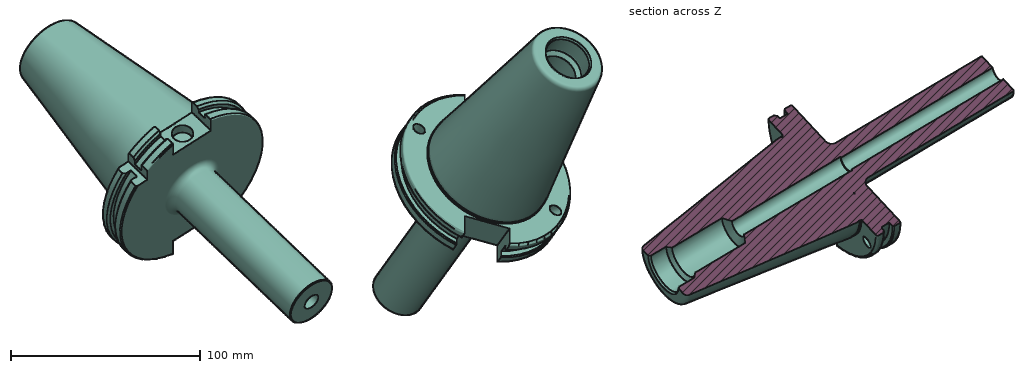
import cadquery as cq
import math


total_length = 220.8
flange_start = 105.0
flange_width = 16.0
flange_end = flange_start + flange_width

gauge_x = 101.4
gauge_radius = 35.0
taper_on_diameter = 7 / 24
small_end_radius = gauge_radius - gauge_x * taper_on_diameter / 2
small_end_fillet = 2.7
relief_start = 103.5
relief_width = 0.7
relief_depth = 0.2

flange_diameter = 97.5
flange_radius = flange_diameter / 2
front_rim_fillet = 1.3
rear_rim_fillet = 0.7
groove_front_x = 110.5
groove_rear_x = 115.5
groove_diameter = 90.3
groove_radius = groove_diameter / 2
groove_front_chamfer = 1.3
groove_rear_chamfer = 0.7
groove_mid_x = (groove_front_x + groove_rear_x) / 2

shank_diameter = 29.0
shank_radius = shank_diameter / 2
shank_root_fillet = 4.0
shank_end_chamfer = 0.5

pilot_radius = 12.5
pilot_depth = 10.4
pilot_chamfer_height = 0.7
pilot_chamfer_length = 1.3
countersink_x = 11.3
countersink_radius = 12.4
countersink_half_angle = math.radians(45)
thread_radius = 10.2
thread_end_x = 46.4
drill_point_half_angle = math.radians(59)
through_radius = 5.3
nozzle_radius = 4.6

slot_width = 25.8
top_slot_floor = 37.8
bottom_slot_floor = 35.5
notch_offset = 30.5

chip_hole_diameter = 11.3
chip_hole_depth = 6.2

port_diameter = 6.0
port_radius = port_diameter / 2
port_tilt = 30
port_circle_radius = 42.2
port_angle = 20.3
channel_radius = 1.8


def cone_length(large_radius, small_radius, half_angle):
    """Axial length of a cone between two radii."""
    return (large_radius - small_radius) / math.tan(half_angle)


def turned_solid(profile):
    """Revolve an (X, radius) profile about the X axis."""
    return profile.close().revolve(360, (0, 0, 0), (1, 0, 0))


def make_taper():
    relief_radius = gauge_radius - relief_depth
    relief_end = relief_start + relief_width
    taper = turned_solid(
        cq.Workplane("XY")
        .lineTo(0, small_end_radius)
        .lineTo(gauge_x, gauge_radius)
        .lineTo(relief_start, gauge_radius)
        .lineTo(relief_start, relief_radius)
        .lineTo(relief_end, relief_radius)
        .lineTo(relief_end, gauge_radius)
        .lineTo(flange_start, gauge_radius)
        .lineTo(flange_start, 0)
    )
    return taper.faces("<X").edges().fillet(small_end_fillet)


def make_flange():
    flange = (
        cq.Workplane("YZ", origin=(flange_start, 0, 0))
        .circle(flange_radius)
        .extrude(flange_width)
    )
    flange = flange.faces("<X").edges().fillet(front_rim_fillet)
    flange = flange.faces(">X").edges().fillet(rear_rim_fillet)
    groove = turned_solid(
        cq.Workplane("XY")
        .moveTo(groove_front_x, groove_radius)
        .lineTo(groove_front_x, flange_radius - groove_front_chamfer)
        .lineTo(groove_front_x - groove_front_chamfer, flange_radius)
        .lineTo(groove_rear_x + groove_rear_chamfer, flange_radius)
        .lineTo(groove_rear_x, flange_radius - groove_rear_chamfer)
        .lineTo(groove_rear_x, groove_radius)
    )
    return flange.cut(groove)


def make_shank():
    fillet_end_x = flange_end + shank_root_fillet
    root_radius = shank_radius + shank_root_fillet
    arc_drop = shank_root_fillet * math.sqrt(0.5)
    arc_middle = (fillet_end_x - arc_drop, root_radius - arc_drop)
    return turned_solid(
        cq.Workplane("XY")
        .moveTo(flange_end, 0)
        .lineTo(flange_end, root_radius)
        .threePointArc(arc_middle, (fillet_end_x, shank_radius))
        .lineTo(total_length - shank_end_chamfer, shank_radius)
        .lineTo(total_length, shank_radius - shank_end_chamfer)
        .lineTo(total_length, 0)
    )


def make_bore():
    thread_start_x = countersink_x + cone_length(countersink_radius, thread_radius, countersink_half_angle)
    point_end_x = thread_end_x + cone_length(thread_radius, through_radius, drill_point_half_angle)
    return turned_solid(
        cq.Workplane("XY")
        .lineTo(0, pilot_radius + pilot_chamfer_height)
        .lineTo(pilot_chamfer_length, pilot_radius)
        .lineTo(pilot_depth, pilot_radius)
        .lineTo(countersink_x, countersink_radius)
        .lineTo(thread_start_x, thread_radius)
        .lineTo(thread_end_x, thread_radius)
        .lineTo(point_end_x, through_radius)
        .lineTo(flange_end, through_radius)
        .lineTo(flange_end, nozzle_radius)
        .lineTo(total_length, nozzle_radius)
        .lineTo(total_length, 0)
    )


def flange_block(y_min, y_max, z_min, z_max):
    """Box across the full flange width."""
    block = cq.Workplane("XY").box(flange_width, y_max - y_min, z_max - z_min, centered=False)
    return block.translate((flange_start, y_min, z_min))


def make_chip_hole():
    return (
        cq.Workplane("XY", origin=(flange_start + flange_width / 2, 0, top_slot_floor))
        .circle(chip_hole_diameter / 2)
        .extrude(-chip_hole_depth)
    )


def make_coolant_port(angle):
    """Port slanting from the flange face towards the axis, into a radial channel."""
    port_depth = groove_mid_x + channel_radius - flange_start
    port_length = port_depth / math.cos(math.radians(port_tilt))
    port = (
        cq.Workplane("YZ", origin=(-port_radius, 0, 0))
        .circle(port_radius)
        .extrude(port_radius + port_length)
        .rotate((0, 0, 0), (0, 0, 1), -port_tilt)
        .translate((flange_start, port_circle_radius, 0))
    )
    channel = (
        cq.Workplane("XZ", origin=(groove_mid_x, 0, 0))
        .circle(channel_radius)
        .extrude(-flange_radius)
    )
    return port.union(channel).rotate((0, 0, 0), (1, 0, 0), angle)


result = make_taper().union(make_flange()).union(make_shank()).cut(make_bore())

half_slot = slot_width / 2
result = result.cut(flange_block(-half_slot, half_slot, top_slot_floor, flange_radius))
result = result.cut(flange_block(-half_slot, half_slot, -flange_radius, -bottom_slot_floor))
result = result.cut(flange_block(-flange_radius, -notch_offset, notch_offset, flange_radius))
result = result.cut(make_chip_hole())

for angle in (port_angle, port_angle + 180):
    result = result.cut(make_coolant_port(angle))